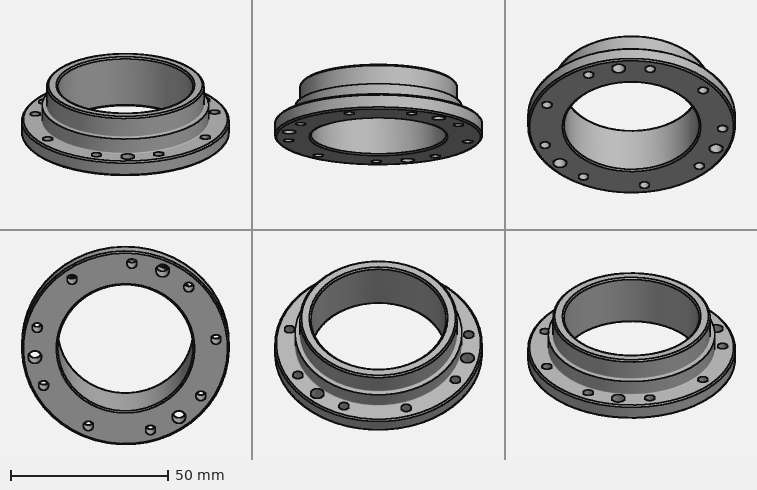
import cadquery as cq

flange_radius = 33.0
shoulder_radius = 26.5
collar_radius = 25.0
bore_radius = 21.5
flange_height = 5.0
shoulder_height = 5.0
total_height = 17.0
edge_chamfer = 0.5
step_fillet = 0.3

hole_circle_radius = 29.0
small_hole_diameter = 3.2
small_hole_count = 9
large_hole_diameter = 4.2
large_hole_count = 3
large_hole_start_angle = 60

shoulder_top = flange_height + shoulder_height


def ring_body():
    """Revolve the half section, drawn with radius along X and height along Z."""
    section = (
        cq.Workplane("XZ")
        .moveTo(bore_radius + edge_chamfer, 0)
        .lineTo(flange_radius - edge_chamfer, 0)
        .lineTo(flange_radius, edge_chamfer)
        .lineTo(flange_radius, flange_height - edge_chamfer)
        .lineTo(flange_radius - edge_chamfer, flange_height)
        .lineTo(shoulder_radius + step_fillet, flange_height)
        .radiusArc((shoulder_radius, flange_height + step_fillet), step_fillet)
        .lineTo(shoulder_radius, shoulder_top)
        .lineTo(collar_radius + step_fillet, shoulder_top)
        .radiusArc((collar_radius, shoulder_top + step_fillet), step_fillet)
        .lineTo(collar_radius, total_height - edge_chamfer)
        .lineTo(collar_radius - edge_chamfer, total_height)
        .lineTo(bore_radius + edge_chamfer, total_height)
        .lineTo(bore_radius, total_height - edge_chamfer)
        .lineTo(bore_radius, edge_chamfer)
        .close()
    )
    return section.revolve(360, (0, 0, 0), (0, 1, 0))


def flange_holes(diameter, count, start_angle):
    """Evenly spaced cylinders that pass through the flange."""
    return (
        cq.Workplane("XY")
        .polarArray(hole_circle_radius, start_angle, 360, count)
        .circle(diameter / 2)
        .extrude(flange_height)
    )


small_holes = flange_holes(small_hole_diameter, small_hole_count, 0)
large_holes = flange_holes(large_hole_diameter, large_hole_count, large_hole_start_angle)
result = ring_body().cut(small_holes).cut(large_holes)